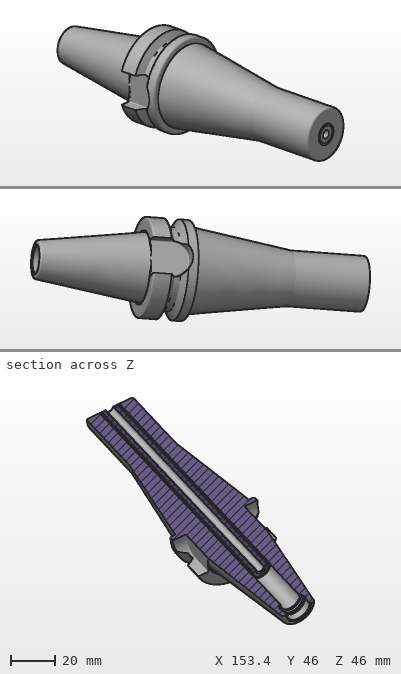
import cadquery as cq
import math

total_length = 153.4
flange_x = 49.4
flange_end_x = 70.4
nose_length = 35.0
nose_x = total_length - nose_length

taper_ratio = 7 / 24
taper_slope = taper_ratio / 2
taper_base_radius = 32.0 / 2
taper_end_radius = taper_base_radius - flange_x * taper_slope
flange_radius = 46.0 / 2
collar_radius = 20.0
collar_length = 0.9
nose_radius = 25.5 / 2

edge_round = 1.0
taper_end_round = 1.2
groove_round = 0.5

groove_center_x = 61.8
groove_width = 7.7
groove_root_radius = 19.2
flank_angle = math.radians(30)
groove_start_x = groove_center_x - groove_width / 2
groove_end_x = groove_center_x + groove_width / 2
flank_run = (flange_radius - groove_root_radius) * math.tan(flank_angle)

recess_radius = 16.9
recess_floor_x = flange_x + 0.5

slot_width = 16.9
slot_end_x = 67.6
slot_floor = taper_base_radius
slot_floor_round = 0.5

mouth_radius = 13.7 / 2
mouth_depth = 0.5
counterbore_radius = 12.5 / 2
counterbore_depth = 7.0
inner_groove_radius = 13.5 / 2
inner_groove_start_x = 4.5
inner_groove_end_x = 5.7
bore_radius = 10.3 / 2

insert_x = 30.7
insert_length = total_length - insert_x
core_radius = 8.5 / 2
coolant_radius = 4.0 / 2
coolant_chamfer = 0.6


def revolve_about_x(profile):
    """Revolve a closed (x, radius) profile one full turn about the X axis."""
    return cq.Workplane("XY").polyline(profile).close().revolve(360, (0, 0, 0), (1, 0, 0))


def round_circles(body, x, radius, size):
    """Round the full circular edges of one radius at one X station."""
    tolerance = 0.02
    circles = [
        edge
        for edge in body.edges("%CIRCLE").vals()
        if abs(edge.radius() - radius) < tolerance and abs(edge.Center().x - x) < tolerance
    ]
    return body.newObject(circles).fillet(size)


def make_blank():
    """Solid taper, grooved flange, cone and nose."""
    blank = revolve_about_x([
        (0, 0),
        (0, taper_end_radius),
        (recess_floor_x, taper_end_radius + recess_floor_x * taper_slope),
        (recess_floor_x, recess_radius),
        (flange_x, recess_radius),
        (flange_x, flange_radius),
        (groove_start_x, flange_radius),
        (groove_start_x + flank_run, groove_root_radius),
        (groove_end_x - flank_run, groove_root_radius),
        (groove_end_x, flange_radius),
        (flange_end_x, flange_radius),
        (flange_end_x, collar_radius),
        (flange_end_x + collar_length, collar_radius),
        (nose_x, nose_radius),
        (total_length, nose_radius),
        (total_length, 0),
    ])
    blank = round_circles(blank, 0, taper_end_radius, taper_end_round)
    blank = round_circles(blank, flange_x, flange_radius, edge_round)
    blank = round_circles(blank, groove_start_x + flank_run, groove_root_radius, groove_round)
    blank = round_circles(blank, groove_end_x - flank_run, groove_root_radius, groove_round)
    blank = round_circles(blank, flange_end_x, flange_radius, edge_round)
    return round_circles(blank, total_length, nose_radius, edge_round)


def make_slot_cutter():
    """Cutter for the drive slot on the -Y side, with rounded floor edges."""
    half_width = slot_width / 2
    arc_x = slot_end_x - half_width
    cutter = (
        cq.Workplane("XZ", origin=(0, -slot_floor, 0))
        .moveTo(flange_x, -half_width)
        .lineTo(arc_x, -half_width)
        .threePointArc((slot_end_x, 0), (arc_x, half_width))
        .lineTo(flange_x, half_width)
        .close()
        .extrude(flange_radius - slot_floor + edge_round)
    )
    return cutter.faces(">Y").edges("not(<X)").fillet(slot_floor_round)


def make_bore_cutter():
    """Stepped bore running the whole length of the holder."""
    return revolve_about_x([
        (0, 0),
        (0, mouth_radius),
        (mouth_depth, counterbore_radius),
        (inner_groove_start_x, counterbore_radius),
        (inner_groove_start_x, inner_groove_radius),
        (inner_groove_end_x, inner_groove_radius),
        (inner_groove_end_x, counterbore_radius),
        (counterbore_depth, counterbore_radius),
        (counterbore_depth, bore_radius),
        (total_length, bore_radius),
        (total_length, 0),
    ])


def make_holder():
    slot_cutter = make_slot_cutter()
    holder = make_blank().cut(slot_cutter).cut(slot_cutter.mirror("XZ"))
    return holder.cut(make_bore_cutter())


def make_insert(outer_radius, inner_radius):
    """Tube from the insert face to the nose end."""
    return (
        cq.Workplane("YZ", origin=(insert_x, 0, 0))
        .circle(outer_radius)
        .circle(inner_radius)
        .extrude(insert_length)
    )


def make_core():
    """Core with a coolant hole that is chamfered at the rear."""
    core = make_insert(core_radius, coolant_radius)
    coolant_rim = core.faces("<X").edges(cq.selectors.RadiusNthSelector(0))
    return coolant_rim.chamfer(coolant_chamfer)


holder = make_holder()
sleeve = make_insert(bore_radius, core_radius)
core = make_core()

result = cq.Compound.makeCompound([holder.val(), sleeve.val(), core.val()])